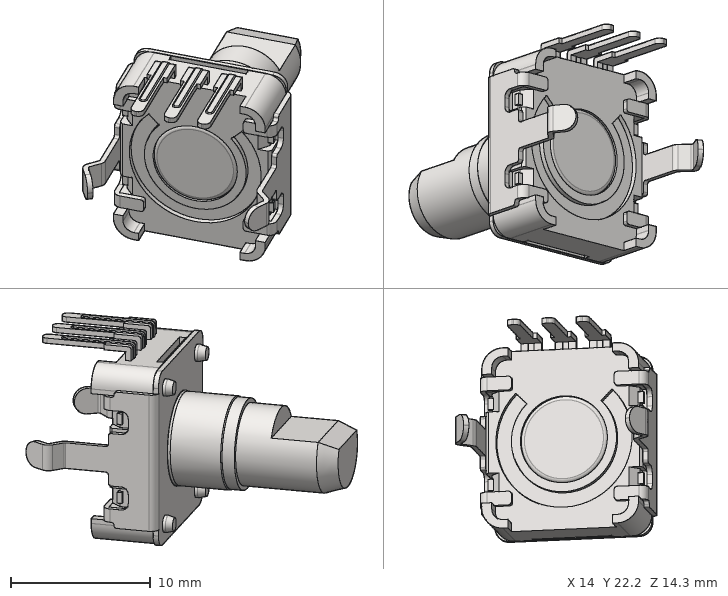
import cadquery as cq
import math


sheet = 0.4
half_width = 5.73
half_height = 6.6
housing_rear = -3.69
housing_corner = 1.53

shaft_radius = 3.0
shaft_tip = 12.43
tip_bevel_length = 1.47
tip_bevel_drop = 0.49
flat_height = 1.5
flat_start = 7.48

bushing_radius = 3.4
bushing_neck_radius = 3.33
bushing_foot_radius = 3.46
bushing_foot_height = 0.2
bushing_shoulder = 3.95
bushing_shoulder_bevel = 0.09
bushing_top = 4.95

slot_front = -0.47
slot_rear = -0.93
slot_half_width = 2.9

rotor_radius = 3.17
rotor_rounding = 0.29
track_inner_radius = 3.85
track_outer_radius = 4.97
track_depth = 0.4
column_rear = -5.02
column_inner_x = 3.82
column_inner_z = 4.7
column_wall_x = 0.73
column_wall_z = 0.62
column_inner_rounding = 0.82
side_bevel = 0.22

stud_x = 4.1
stud_z = 5.13
stud_radius = 0.62
stud_tip_radius = 0.49
stud_cylinder_height = 0.22
left_stud_height = 0.78
right_stud_height = 0.7

pocket_low = 2.25
pocket_high = 3.7
pocket_front = -2.13
pocket_slope_start = -2.95
pocket_depth = 0.33
pocket_rear_depth = 0.98
nub_low = 2.55
nub_high = 3.37
nub_front = -2.73
nub_rear = -3.09
nub_outer_x = 5.68
nub_inner_x = 5.26

plate_half_height = 6.55
plate_corner = 1.0
arm_outer = half_width + sheet
arm_half_height = 5.13
arm_rear = -3.62
arm_shoulder = -3.2
arm_rounding = 0.2
notch_low = 1.98
notch_high = pocket_high
notch_floor = pocket_front
notch_rounding = 0.53
bend_outer = 0.58
bend_inner = 0.18
tab_high = column_inner_z
tab_tip = 3.75
tab_rear = housing_rear - sheet
tab_root = -3.45
tab_rounding = 0.22
leg_width = 1.93
leg_tip_rounding = 0.95
leg_kick_start = -6.85
leg_kick = 1.02
leg_return_angle = 60
leg_tip = -9.77

terminal_pitch = 2.5
terminal_front = -2.75
terminal_top = 7.64
terminal_wide = 1.5
terminal_wide_end = -4.75
blade_width = 0.95
blade_tip = -9.52
blade_rounding = 0.42
terminal_bend = 0.22
bead_base = 0.6
bead_crest = 0.42
bead_height = 0.07
bead_end = -8.15

SIDES = (-1, 1)


def box(x_range, y_range, z_range):
    """Axis-aligned box between two limits along each axis."""
    size = [abs(b - a) for a, b in (x_range, y_range, z_range)]
    low = (min(x_range), min(y_range), min(z_range))
    return cq.Workplane("XY").box(*size, centered=False).translate(low)


def turned(profile):
    """Solid of revolution about the Y axis from (radius, y) points."""
    return cq.Workplane("XY").polyline(profile).close().revolve(360, (0, 0), (0, 1))


def bar(radius, y_start, y_end):
    """Round bar on the Y axis."""
    return turned([(0, y_start), (radius, y_start), (radius, y_end), (0, y_end)])


def round_edge(body, point, radius):
    """Fillet the edge whose middle is nearest to the point."""
    return body.edges(cq.selectors.NearestToPointSelector(point)).fillet(radius)


def mirrored(body, plane):
    """Body together with its mirror image."""
    return body.union(body.mirror(plane))


def make_shaft():
    bevel_start = shaft_tip - tip_bevel_length
    shaft = turned([
        (0, slot_front),
        (shaft_radius, slot_front),
        (shaft_radius, bevel_start),
        (shaft_radius - tip_bevel_drop, shaft_tip),
        (0, shaft_tip),
    ])
    above_flat = (
        cq.Workplane("YZ")
        .polyline([
            (flat_start, flat_height),
            (bevel_start, flat_height),
            (shaft_tip, flat_height - tip_bevel_drop),
            (shaft_tip, shaft_radius),
            (flat_start, shaft_radius),
        ])
        .close()
        .extrude(shaft_radius, both=True)
    )
    return shaft.cut(above_flat)


def make_bushing():
    return turned([
        (0, -sheet),
        (bushing_radius, -sheet),
        (bushing_radius, 0),
        (bushing_foot_radius, 0),
        (bushing_radius, bushing_foot_height),
        (bushing_radius, bushing_shoulder),
        (bushing_neck_radius, bushing_shoulder + bushing_shoulder_bevel),
        (bushing_neck_radius, bushing_top),
        (0, bushing_top),
    ])


def make_footprint(y_front, y_rear):
    """Housing outline as a block with four rounded corners."""
    block = box((-half_width, half_width), (y_front, y_rear), (-half_height, half_height))
    return block.edges("|Y").fillet(housing_corner)


def make_columns():
    """Four L-shaped corner walls standing on the rear face."""
    corner = box((column_inner_x, half_width), (-sheet, column_rear), (column_inner_z, half_height))
    inside_x = half_width - column_wall_x
    inside_z = half_height - column_wall_z
    inside = box((0, inside_x), (housing_rear, column_rear), (0, inside_z))
    middle_y = (housing_rear + column_rear) / 2
    inside = round_edge(inside, (inside_x, middle_y, inside_z), column_inner_rounding)
    columns = mirrored(mirrored(corner.cut(inside), "YZ"), "XY")
    return columns.intersect(make_footprint(-sheet, column_rear))


def make_stud(height):
    return turned([
        (0, -sheet),
        (stud_radius, -sheet),
        (stud_radius, stud_cylinder_height),
        (stud_tip_radius, height),
        (0, height),
    ])


def make_track():
    """Ring over 270 degrees, open toward +Z."""
    floor = housing_rear + track_depth
    ring = bar(track_outer_radius, housing_rear, floor).cut(
        bar(track_inner_radius, housing_rear, floor)
    )
    reach = 2 * track_outer_radius
    opening = (
        cq.Workplane("XZ", origin=(0, floor, 0))
        .polyline([(0, 0), (reach, reach), (-reach, reach)])
        .close()
        .extrude(track_depth)
    )
    return ring.cut(opening)


def make_side_pocket():
    """Upper pocket on the +X side, its inner wall sloping near the rear."""
    return (
        cq.Workplane("XY", origin=(0, 0, pocket_low))
        .polyline([
            (half_width, pocket_front),
            (half_width - pocket_depth, pocket_front),
            (half_width - pocket_depth, pocket_slope_start),
            (half_width - pocket_rear_depth, housing_rear),
            (half_width, housing_rear),
        ])
        .close()
        .extrude(pocket_high - pocket_low)
    )


def make_side_bevel():
    """Wedge taken off the rear edge of the +X side, between its pockets."""
    return (
        cq.Workplane("XY", origin=(0, 0, -pocket_low))
        .polyline([
            (half_width - side_bevel, housing_rear),
            (half_width, housing_rear),
            (half_width, housing_rear + side_bevel),
        ])
        .close()
        .extrude(2 * pocket_low)
    )


def make_housing():
    housing = make_footprint(-sheet, housing_rear).union(make_columns()).union(make_bushing())
    for side, height in ((-1, left_stud_height), (1, right_stud_height)):
        for level in SIDES:
            housing = housing.union(make_stud(height).translate((side * stud_x, 0, level * stud_z)))

    slot = box(
        (-slot_half_width, slot_half_width), (slot_front, slot_rear), (-half_height, half_height)
    )
    housing = housing.cut(slot)
    housing = housing.cut(bar(shaft_radius, slot_front, bushing_top))
    housing = housing.cut(bar(rotor_radius, slot_rear, housing_rear))
    housing = housing.cut(make_track())

    pockets = mirrored(mirrored(make_side_pocket(), "XY"), "YZ")
    bevels = mirrored(make_side_bevel(), "YZ")
    nub = box((nub_inner_x, nub_outer_x), (nub_front, nub_rear), (nub_low, nub_high))
    nubs = mirrored(mirrored(nub, "XY"), "YZ")
    return housing.cut(pockets).cut(bevels).union(nubs)


def make_rotor():
    return bar(rotor_radius, slot_rear, housing_rear).faces("<Y").edges().fillet(rotor_rounding)


def make_arm_outline():
    """Side outline of the arms, with notches, as a block through both arms."""
    leg_half = leg_width / 2
    leg_root = arm_rear - 2 * arm_rounding
    upper = [
        (0, arm_half_height),
        (arm_shoulder, arm_half_height),
        (arm_shoulder, tab_high),
        (tab_root, tab_high),
        (tab_root, notch_high),
        (notch_floor, notch_high),
        (notch_floor, notch_low),
        (arm_rear, notch_low),
        (arm_rear, leg_half),
        (leg_root, leg_half),
    ]
    lower = [(y, -z) for y, z in reversed(upper)]
    outline = cq.Workplane("YZ").polyline(upper + lower).close().extrude(arm_outer, both=True)
    roundings = [
        (arm_shoulder, arm_half_height, arm_rounding),
        (arm_shoulder, tab_high, arm_rounding),
        (notch_floor, notch_high, notch_rounding),
        (notch_floor, notch_low, notch_rounding),
        (arm_rear, notch_low, arm_rounding),
        (arm_rear, leg_half, arm_rounding),
    ]
    for y, z, radius in roundings:
        for level in SIDES:
            outline = round_edge(outline, (0, y, level * z), radius)
    return outline


def make_tab():
    """Upper clamping tab of the -X arm, folded over the rear of the housing."""
    middle_z = (notch_high + tab_high) / 2
    tab = box((-arm_outer, -tab_tip), (tab_root, tab_rear), (notch_high, tab_high))
    tab = tab.cut(box((-half_width, -tab_tip), (tab_root, housing_rear), (notch_high, tab_high)))
    tab = round_edge(tab, (-arm_outer, tab_rear, middle_z), bend_outer)
    for z in (notch_high, tab_high):
        tab = round_edge(tab, (-tab_tip, (housing_rear + tab_rear) / 2, z), tab_rounding)
    return tab


def strip_inner_edge(path):
    """Path moved sideways by the sheet thickness, to the left of its direction."""
    normals = []
    for (x0, y0), (x1, y1) in zip(path, path[1:]):
        length = math.hypot(x1 - x0, y1 - y0)
        normals.append(((y0 - y1) / length, (x1 - x0) / length))
    before = normals[:1] + normals
    after = normals + normals[-1:]
    inner = []
    for (x, y), (ax, ay), (bx, by) in zip(path, before, after):
        mitre = sheet / (1 + ax * bx + ay * by)
        inner.append((x + mitre * (ax + bx), y + mitre * (ay + by)))
    return inner


def make_leg():
    """Snap-in leg of the -X arm: straight, kicked outward, then returning inward."""
    knee_x = -arm_outer - leg_kick
    knee_y = leg_kick_start - leg_kick
    tip_x = knee_x + (knee_y - leg_tip) / math.tan(math.radians(leg_return_angle))
    outer = [(-arm_outer, arm_rear), (-arm_outer, leg_kick_start), (knee_x, knee_y), (tip_x, leg_tip)]
    inner = strip_inner_edge(outer)
    leg = (
        cq.Workplane("XY")
        .polyline(outer + inner[::-1])
        .close()
        .extrude(leg_width / 2, both=True)
    )
    bends = [
        (outer[1], bend_inner),
        (inner[1], bend_outer),
        (outer[2], bend_outer),
        (inner[2], bend_inner),
    ]
    for (x, y), radius in bends:
        leg = round_edge(leg, (x, y, 0), radius)
    tip_middle_x = (outer[3][0] + inner[3][0]) / 2
    tip_middle_y = (outer[3][1] + inner[3][1]) / 2
    for level in SIDES:
        leg = round_edge(leg, (tip_middle_x, tip_middle_y, level * leg_width / 2), leg_tip_rounding)
    return leg


def make_bracket():
    arm_z = (-arm_half_height, arm_half_height)
    channel = box((-arm_outer, arm_outer), (0, 2 * arm_rear), arm_z)
    channel = channel.edges("|Z and >Y").fillet(bend_outer)
    channel = channel.cut(box((-half_width, half_width), (-sheet, 2 * arm_rear), arm_z))
    channel = channel.intersect(make_arm_outline())

    plate = box((-half_width, half_width), (-sheet, 0), (-plate_half_height, plate_half_height))
    plate = plate.edges("|Y").fillet(plate_corner)
    plate = plate.cut(box((-half_width, half_width), (-sheet, 0), arm_z))
    bracket = channel.union(plate)

    bracket = bracket.union(mirrored(mirrored(make_tab(), "XY"), "YZ"))
    bracket = bracket.union(mirrored(make_leg(), "YZ"))

    bracket = bracket.cut(bar(bushing_radius, -sheet, 0))
    for side in SIDES:
        for level in SIDES:
            hole = bar(stud_radius, -sheet, 0).translate((side * stud_x, 0, level * stud_z))
            bracket = bracket.cut(hole)
    return bracket


def make_bead():
    """Raised bead along the outside of the terminal, following its bend."""
    base = bead_base / 2
    crest = bead_crest / 2
    bend_y = terminal_front - terminal_bend
    bend_z = terminal_top - terminal_bend
    end_y = bead_end + base
    section = [
        (-base, terminal_bend),
        (-crest, terminal_bend + bead_height),
        (crest, terminal_bend + bead_height),
        (base, terminal_bend),
        (base, 0),
        (-base, 0),
    ]
    along = cq.Workplane("XZ", origin=(0, bend_y, bend_z)).polyline(section).close()
    flat = along.extrude(bend_y - end_y)
    upright_section = [(x, bend_y + depth) for x, depth in section]
    upright = (
        cq.Workplane("XY", origin=(0, 0, half_height))
        .polyline(upright_section)
        .close()
        .extrude(bend_z - half_height)
    )
    bend = (
        cq.Workplane("XY", origin=(0, bend_y, bend_z))
        .polyline(section)
        .close()
        .revolve(90, (0, 0), (1, 0))
    )
    flare = math.degrees(math.atan2(base - crest, bead_height))
    end = (
        cq.Workplane("XY", origin=(0, end_y, terminal_top))
        .circle(base)
        .extrude(bead_height, taper=flare)
    )
    return upright.union(bend).union(flat).union(end)


def make_terminal():
    """L-shaped pin rising from the housing top and running rearward."""
    wide = (-terminal_wide / 2, terminal_wide / 2)
    inner_y = terminal_front - sheet
    inner_z = terminal_top - sheet
    angle = box(wide, (terminal_front, terminal_wide_end), (half_height, terminal_top))
    angle = round_edge(angle, (0, terminal_front, terminal_top), terminal_bend)
    blade = box(
        (-blade_width / 2, blade_width / 2), (inner_y, blade_tip), (inner_z, terminal_top)
    )
    blade = blade.edges("|Z and <Y").fillet(blade_rounding)
    below_blade = box(wide, (inner_y, terminal_wide_end), (half_height, inner_z))
    groove = box(
        (-bead_crest / 2, bead_crest / 2), (inner_y, inner_y + bead_height), (half_height, inner_z)
    )
    return angle.cut(below_blade).union(make_bead()).union(blade).cut(groove)


shaft = make_shaft()
housing = make_housing()
rotor = make_rotor()
bracket = make_bracket()
terminals = [make_terminal().translate((place * terminal_pitch, 0, 0)) for place in (-1, 0, 1)]

result = cq.Compound.makeCompound([
    shaft.val(),
    housing.val(),
    rotor.val(),
    bracket.val(),
    *[terminal.val() for terminal in terminals],
])